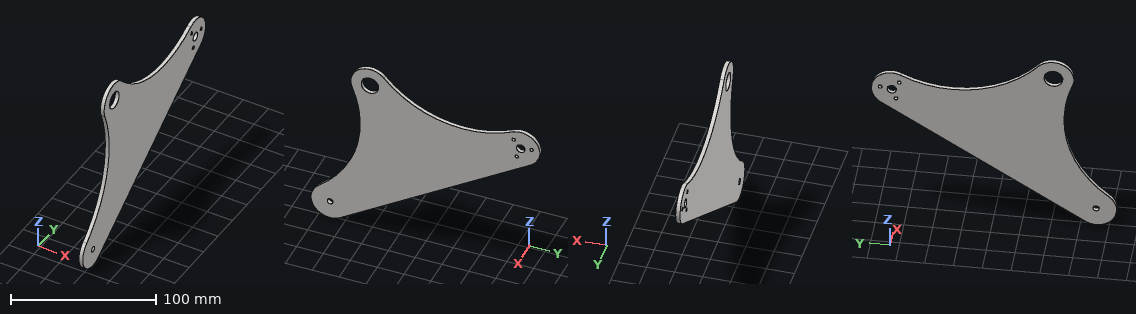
import cadquery as cq
import math

thickness = 3.2
length_y = 170.5
height_z = 138.9

corner_radius = 14.3
concave_radius = 80.1

apex_hole_diameter = 12.8
rear_hole_diameter = 6.3
front_hole_diameter = 4.1
small_hole_diameter = 2.4

small_hole_count = 3
small_hole_circle_radius = 8.2
small_hole_start_angle = 9.5

apex_offset_y = 112.1
rear_drop_z = 21.3
rear_y = length_y / 2 - corner_radius
apex_z = height_z / 2 - corner_radius
apex = (rear_y - apex_offset_y, apex_z)
rear = (rear_y, apex_z - rear_drop_z)
front = (-rear_y, -apex_z)


def point_from(origin, target, distance):
    """Point at a distance from origin, heading toward target."""
    span = math.dist(origin, target)
    return tuple(o + (t - o) * distance / span for o, t in zip(origin, target))


def left_normal(start, end):
    """Unit vector pointing left of the direction from start to end."""
    span = math.dist(start, end)
    return (start[1] - end[1]) / span, (end[0] - start[0]) / span


def offset(point, direction, distance):
    return tuple(p + d * distance for p, d in zip(point, direction))


def concave_side(start, end):
    """Start, middle and end of the arc tangent to two corners, curving in from the left."""
    middle = tuple((s + e) / 2 for s, e in zip(start, end))
    normal = left_normal(start, end)
    center_distance = math.sqrt((corner_radius + concave_radius) ** 2 - (math.dist(start, end) / 2) ** 2)
    center = offset(middle, normal, center_distance)
    return (
        point_from(start, center, corner_radius),
        offset(center, normal, -concave_radius),
        point_from(end, center, corner_radius),
    )


def drill(plate, centers, diameter):
    return plate.cut(
        cq.Workplane("YZ", origin=(-thickness / 2, 0, 0))
        .pushPoints(centers)
        .circle(diameter / 2)
        .extrude(thickness)
    )


plate_center = (0.0, 0.0)
front_side = concave_side(front, apex)
rear_side = concave_side(apex, rear)
lower_normal = left_normal(rear, front)
lower_front = offset(front, lower_normal, corner_radius)
lower_rear = offset(rear, lower_normal, corner_radius)

result = (
    cq.Workplane("YZ", origin=(-thickness / 2, 0, 0))
    .moveTo(*lower_front)
    .threePointArc(point_from(front, plate_center, -corner_radius), front_side[0])
    .threePointArc(front_side[1], front_side[2])
    .threePointArc(offset(apex, (0, 1), corner_radius), rear_side[0])
    .threePointArc(rear_side[1], rear_side[2])
    .threePointArc(offset(rear, (1, 0), corner_radius), lower_rear)
    .close()
    .extrude(thickness)
)

result = drill(result, [apex], apex_hole_diameter)
result = drill(result, [rear], rear_hole_diameter)
result = drill(result, [front], front_hole_diameter)

small_hole_angles = [
    math.radians(small_hole_start_angle + i * 360 / small_hole_count) for i in range(small_hole_count)
]
small_hole_centers = [
    offset(rear, (math.cos(angle), math.sin(angle)), small_hole_circle_radius) for angle in small_hole_angles
]
result = drill(result, small_hole_centers, small_hole_diameter)